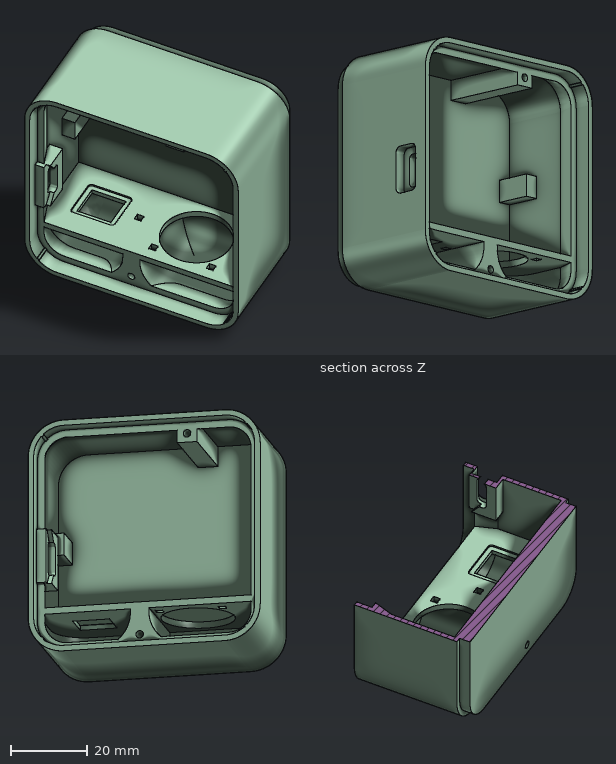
import cadquery as cq
import math

WIDTH = 62.5
HEIGHT = 63.0
DEPTH = 33.62
CORNER_RADIUS = 9.5
WALL = 1.5

LIP_LENGTH = 3.1
LIP_INSET = 1.5

LEDGE_Y = 4.5
LEDGE_WIDTH = 2.0
SLOPE_LENGTH = 5.8
BACK_WALL_Y = 29.0
INNER_X = WIDTH / 2 - WALL
INNER_Z = HEIGHT / 2 - WALL

RIB_WIDTH = 0.8
RIB_HEIGHT = 0.25

SHELF_TOP_Z = -18.15
SHELF_THICKNESS = 1.75
SHELF_BOTTOM_Z = SHELF_TOP_Z - SHELF_THICKNESS
DIVIDER_X = -2.25
DIVIDER_WIDTH = 5.0
SCOOP_RADIUS = 9.0

SPEAKER_DIAMETER = 19.5
SPEAKER_X = 10.6
SPEAKER_Y = 17.1
PEG_HOLE_SIZE = 1.9
PEG_HOLE_OFFSET = 8.45
WIRE_HOLE_X = -6.2
WIDE_OPENING_X = -17.2
WIDE_OPENING_LENGTH = 12.7
WIDE_OPENING_WIDTH = 11.7
WIDE_OPENING_RADIUS = 1.0
WIDE_OPENING_STEP = 1.4
WIDE_OPENING_STEP_DEPTH = 0.5

FIXING_DIAMETER = 2.0
FIXING_Z = 27.0
BOSS_X = 10.5
BOSS_WIDTH = 5.3
BOSS_BOTTOM_Z = 24.6

BLOCK_FRONT_Y = 19.1
BLOCK_BOTTOM_Z = 0.2
BLOCK_HEIGHT = 6.0
BLOCK_INNER_X = WIDTH / 2 - 5.3

PORT_Y = 7.2
PORT_Z = -4.25
PORT_RECESS_WIDTH = 7.3
PORT_RECESS_HEIGHT = 12.7
PORT_RECESS_DEPTH = 3.1
PORT_RECESS_RADIUS = 1.75
PORT_SLOT_WIDTH = 3.4
PORT_SLOT_HEIGHT = 8.9
PORT_SLOT_RADIUS = 1.3
HOUSING_MARGIN = 0.95
HOUSING_FRONT_MARGIN = 0.4
HOUSING_PLATE_THICKNESS = 4.1


def box(x_range, y_range, z_range):
    """Axis-aligned box between the given limits."""
    size = [high - low for low, high in (x_range, y_range, z_range)]
    corner = (x_range[0], y_range[0], z_range[0])
    return cq.Workplane("XY").box(*size, centered=False).translate(corner)


def rounded_prism(inset, y_start, y_end, taper=0):
    """Case outline moved in by inset, extruded along Y."""
    outline = cq.Sketch().rect(WIDTH - 2 * inset, HEIGHT - 2 * inset)
    outline = outline.vertices().fillet(CORNER_RADIUS - inset)
    plane = cq.Workplane("XZ", origin=(0, y_start, 0))
    return plane.placeSketch(outline).extrude(y_start - y_end, taper=taper)


def make_cavity():
    """Room behind the ledge, widening along the slope to the full inner size."""
    slope_end_y = LEDGE_Y + SLOPE_LENGTH
    slope_angle = math.degrees(math.atan2(LEDGE_WIDTH, SLOPE_LENGTH))
    mouth = rounded_prism(WALL + LEDGE_WIDTH, LEDGE_Y, slope_end_y, -slope_angle)
    return mouth.union(rounded_prism(WALL, slope_end_y, BACK_WALL_Y))


def make_scoop(inner_x, side):
    """Compartment from inner_x to the side wall with a rounded bottom, back and outer end."""
    x_range = sorted((inner_x, side * INNER_X))
    scoop = box(x_range, (LEDGE_Y, BACK_WALL_Y), (-INNER_Z, SHELF_BOTTOM_Z))
    outer, inner = (">X", "<X") if side > 0 else ("<X", ">X")
    back_bottom = "(|X and >Y and <Z)"
    back_outer = f"(|Z and >Y and {outer})"
    inner_bottom = f"(|Y and {inner} and <Z)"
    scoop = scoop.edges(f"{back_bottom} or {back_outer} or {inner_bottom}").fillet(SCOOP_RADIUS)
    return scoop.edges(f"|Y and {outer} and <Z").fillet(CORNER_RADIUS - WALL)


def make_socket_ribs():
    """Flat ribs across the middle of each socket corner."""
    socket_radius = CORNER_RADIUS - WALL
    ribs = cq.Workplane("XY")
    for side_x in (-1, 1):
        for side_z in (-1, 1):
            rib = box(
                (-RIB_WIDTH / 2, RIB_WIDTH / 2),
                (0, LEDGE_Y),
                (socket_radius - RIB_HEIGHT, socket_radius + WALL / 2),
            )
            angle = math.degrees(math.atan2(side_x, side_z))
            rib = rib.rotate((0, 0, 0), (0, 1, 0), angle)
            center_x = side_x * (WIDTH / 2 - CORNER_RADIUS)
            center_z = side_z * (HEIGHT / 2 - CORNER_RADIUS)
            ribs = ribs.union(rib.translate((center_x, 0, center_z)))
    return ribs


def make_shell():
    """Case with lip, socket and cavity."""
    shoulder_y = DEPTH - LIP_LENGTH
    shell = rounded_prism(0, 0, shoulder_y)
    shell = shell.union(rounded_prism(LIP_INSET, shoulder_y, DEPTH))
    shell = shell.cut(rounded_prism(WALL, 0, LEDGE_Y))
    return shell.cut(make_cavity()).union(make_socket_ribs())


def add_shelf(body):
    """Fill the bottom up to the shelf, then hollow out the two compartments."""
    y_range = (LEDGE_Y, BACK_WALL_Y)
    body = body.union(box((-INNER_X, INNER_X), y_range, (-INNER_Z, SHELF_TOP_Z)))
    body = body.intersect(rounded_prism(0, 0, DEPTH))
    cavity = make_cavity()
    for side in (-1, 1):
        scoop = make_scoop(DIVIDER_X + side * DIVIDER_WIDTH / 2, side)
        body = body.cut(scoop.intersect(cavity))
    return body


def cut_shelf_openings(body):
    """Speaker hole, square holes and the stepped opening."""
    shelf_top = cq.Workplane("XY", origin=(0, 0, SHELF_TOP_Z))
    speaker = shelf_top.center(SPEAKER_X, SPEAKER_Y).circle(SPEAKER_DIAMETER / 2)
    body = body.cut(speaker.extrude(-SHELF_THICKNESS))

    peg_y = SPEAKER_Y - PEG_HOLE_OFFSET
    square_holes = [
        (SPEAKER_X - PEG_HOLE_OFFSET, peg_y),
        (SPEAKER_X + PEG_HOLE_OFFSET, peg_y),
        (WIRE_HOLE_X, SPEAKER_Y),
    ]
    squares = shelf_top.pushPoints(square_holes).rect(PEG_HOLE_SIZE, PEG_HOLE_SIZE)
    body = body.cut(squares.extrude(-SHELF_THICKNESS))

    opening = shelf_top.center(WIDE_OPENING_X, SPEAKER_Y)
    step = opening.rect(WIDE_OPENING_LENGTH, WIDE_OPENING_WIDTH).extrude(-WIDE_OPENING_STEP_DEPTH)
    through = opening.rect(
        WIDE_OPENING_LENGTH - 2 * WIDE_OPENING_STEP,
        WIDE_OPENING_WIDTH - 2 * WIDE_OPENING_STEP,
    ).extrude(-SHELF_THICKNESS)
    return body.cut(step.edges("|Z").fillet(WIDE_OPENING_RADIUS)).cut(through)


def add_blocks_and_boss(body):
    """Stop blocks on both side walls and the fixing boss under the top wall."""
    block_z = (BLOCK_BOTTOM_Z, BLOCK_BOTTOM_Z + BLOCK_HEIGHT)
    for side in (-1, 1):
        block_x = sorted((side * BLOCK_INNER_X, side * INNER_X))
        body = body.union(box(block_x, (BLOCK_FRONT_Y, BACK_WALL_Y), block_z))
    boss_x = (BOSS_X - BOSS_WIDTH / 2, BOSS_X + BOSS_WIDTH / 2)
    return body.union(box(boss_x, (LEDGE_Y, BACK_WALL_Y), (BOSS_BOTTOM_Z, INNER_Z)))


def cut_fixing_holes(body):
    """Through holes in the boss and in the divider."""
    front = cq.Workplane("XZ")
    points = [(BOSS_X, FIXING_Z), (DIVIDER_X, -FIXING_Z)]
    return body.cut(front.pushPoints(points).circle(FIXING_DIAMETER / 2).extrude(-DEPTH))


def port_prism(width, height, radius, depth):
    """Rounded rectangle cut inward along X from the -X face at the port."""
    face = cq.Workplane("YZ", origin=(-WIDTH / 2, PORT_Y, PORT_Z))
    return face.rect(width, height).extrude(depth).edges("|X").fillet(radius)


def add_port(body):
    """Housing inside the wall, with an outer recess, a slot and a flared inner mouth."""
    half_height = PORT_RECESS_HEIGHT / 2 + HOUSING_MARGIN
    front_y = PORT_Y - PORT_RECESS_WIDTH / 2 - HOUSING_FRONT_MARGIN
    back_y = PORT_Y + PORT_RECESS_WIDTH / 2 + HOUSING_MARGIN
    z_range = (PORT_Z - half_height, PORT_Z + half_height)
    plate_x = HOUSING_PLATE_THICKNESS - WIDTH / 2
    plate = box((-INNER_X, plate_x), (front_y, back_y), z_range)
    block = box((plate_x, -BLOCK_INNER_X), (LEDGE_Y, back_y), z_range)

    mouth_end_y = PORT_Y - PORT_SLOT_WIDTH / 2 + PORT_SLOT_RADIUS
    mouth_profile = [
        (LEDGE_Y, PORT_Z - half_height),
        (LEDGE_Y, PORT_Z + half_height),
        (mouth_end_y, PORT_Z + PORT_SLOT_HEIGHT / 2),
        (mouth_end_y, PORT_Z - PORT_SLOT_HEIGHT / 2),
    ]
    mouth = cq.Workplane("YZ", origin=(plate_x, 0, 0)).polyline(mouth_profile).close()
    mouth = mouth.extrude(-BLOCK_INNER_X - plate_x)
    recess = port_prism(PORT_RECESS_WIDTH, PORT_RECESS_HEIGHT, PORT_RECESS_RADIUS, PORT_RECESS_DEPTH)
    slot_depth = WIDTH / 2 - BLOCK_INNER_X
    slot = port_prism(PORT_SLOT_WIDTH, PORT_SLOT_HEIGHT, PORT_SLOT_RADIUS, slot_depth)
    return body.union(plate).union(block).cut(mouth).cut(recess).cut(slot)


case = make_shell()
case = add_shelf(case)
case = cut_shelf_openings(case)
case = add_blocks_and_boss(case)
case = cut_fixing_holes(case)
result = add_port(case)